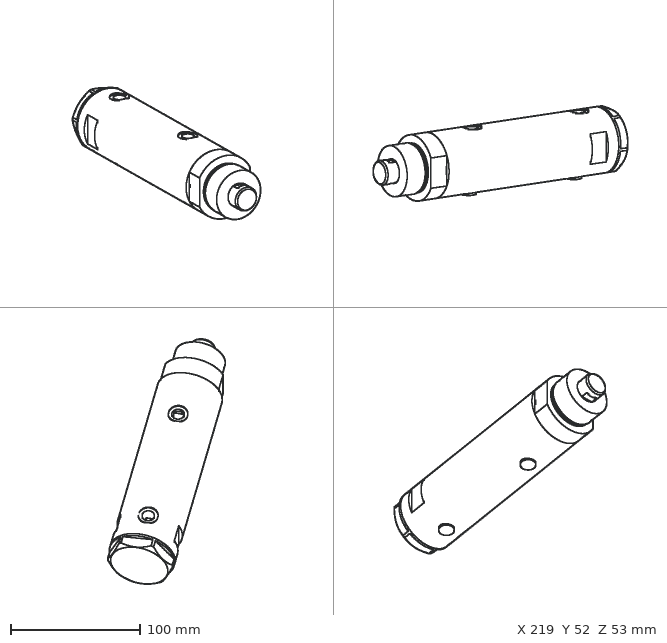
import cadquery as cq
import math


overall_length = 219.0
outer_radius = 52.0 / 2
across_flats = 46.0
bore_radius = 15.3
counterbore_radius = 22.3
rod_radius = 9.6

flange_start = 9.0
barrel_start = 11.0
cap_spigot_end = 35.3
head_spigot_start = 134.3
head_start = 171.3
shoulder_end = 186.4
collar_end = 206.8

cap_tilt = -8.0
cap_face_radius = 22.8
cap_chamfer_length = 2.8

barrel_flat_start = 20.8
barrel_flat_end = 36.0
port_positions = (30.5, 131.6)
port_radius = 9.6 / 2
spotface_radius = 15.3 / 2
spotface_depth = 1.0
boss_positions = (35.3, 135.0)
boss_radius = 12.3 / 2
boss_height = 1.0

collar_radius = 40.0 / 2
groove_radius = 19.0
groove_rim_radius = 19.5
groove_start = 187.5
groove_end = 188.8

rod_across_flats = 16.5
rod_flat_end = 212.7
rod_chamfer_length = 1.5
rod_chamfer_depth = 1.0


def cylinder_x(radius, start, end):
    """Solid cylinder along the X axis."""
    return cq.Workplane("YZ").workplane(offset=start).circle(radius).extrude(end - start)


def revolve_x(points):
    """Solid of revolution about X from an outline of (x, radius) points."""
    return cq.Workplane("XY").polyline(points).close().revolve(360, (0, 0, 0), (1, 0, 0))


def cut_flats(body, start, end, radius, distance, normal):
    """Two opposite flats, the given distance apart, on a round stretch of body."""
    depth = radius - distance / 2
    for side in (-1, 1):
        cutter = cq.Workplane("XY", origin=((start + end) / 2, 0, 0)).box(end - start, 2 * radius, depth)
        cutter = cutter.translate((0, 0, side * (radius - depth / 2)))
        if normal == "Y":
            cutter = cutter.rotate((0, 0, 0), (1, 0, 0), 90)
        body = body.cut(cutter)
    return body


def make_cap():
    """Chamfered hexagon, round flange and a spigot that fills the barrel bore."""
    corner_diameter = across_flats / math.cos(math.radians(30))
    hexagon = (
        cq.Workplane("YZ")
        .polygon(6, corner_diameter)
        .extrude(flange_start)
        .rotate((0, 0, 0), (1, 0, 0), cap_tilt)
    )
    envelope = revolve_x([
        (0, 0),
        (0, cap_face_radius),
        (cap_chamfer_length, outer_radius),
        (flange_start, outer_radius),
        (flange_start, 0),
    ])
    flange = cylinder_x(outer_radius, flange_start, barrel_start)
    spigot = cylinder_x(bore_radius, barrel_start, cap_spigot_end)
    return hexagon.intersect(envelope).union(flange).union(spigot)


def make_barrel():
    """Tube with wrench flats, two ports on top and two round bosses below."""
    barrel = cylinder_x(outer_radius, barrel_start, head_start)
    barrel = cut_flats(barrel, barrel_flat_start, barrel_flat_end, outer_radius, across_flats, "Y")

    boss_bottom = -outer_radius - boss_height
    for x in boss_positions:
        boss = cq.Workplane("XY", origin=(x, 0, boss_bottom)).circle(boss_radius).extrude(-boss_bottom)
        barrel = barrel.union(boss)

    barrel = barrel.cut(cylinder_x(bore_radius, barrel_start, head_spigot_start))
    barrel = barrel.cut(cylinder_x(counterbore_radius, head_spigot_start, head_start))

    spotface_bottom = outer_radius - spotface_depth
    for x in port_positions:
        port = cq.Workplane("XY", origin=(x, 0, 0)).circle(port_radius).extrude(outer_radius)
        spotface = (
            cq.Workplane("XY", origin=(x, 0, spotface_bottom)).circle(spotface_radius).extrude(spotface_depth)
        )
        barrel = barrel.cut(port).cut(spotface)
    return barrel


def make_head():
    """Spigot, shoulder with wrench flats, groove and collar, bored for the rod."""
    rise = collar_radius - groove_radius
    head = revolve_x([
        (head_spigot_start, rod_radius),
        (head_spigot_start, counterbore_radius),
        (head_start, counterbore_radius),
        (head_start, outer_radius),
        (shoulder_end, outer_radius),
        (shoulder_end, groove_rim_radius),
        (groove_start, groove_radius),
        (groove_end, groove_radius),
        (groove_end + rise, collar_radius),
        (collar_end, collar_radius),
        (collar_end, rod_radius),
    ])
    return cut_flats(head, head_start, shoulder_end, outer_radius, across_flats, "Y")


def make_rod():
    """Round rod from the cap spigot out through the head, with flats facing -Z and +Z."""
    rod = revolve_x([
        (cap_spigot_end, 0),
        (cap_spigot_end, rod_radius),
        (overall_length - rod_chamfer_length, rod_radius),
        (overall_length, rod_radius - rod_chamfer_depth),
        (overall_length, 0),
    ])
    return cut_flats(rod, collar_end, rod_flat_end, rod_radius, rod_across_flats, "Z")


cap = make_cap()
barrel = make_barrel()
head = make_head()
rod = make_rod()

result = cq.Compound.makeCompound([cap.val(), barrel.val(), head.val(), rod.val()])